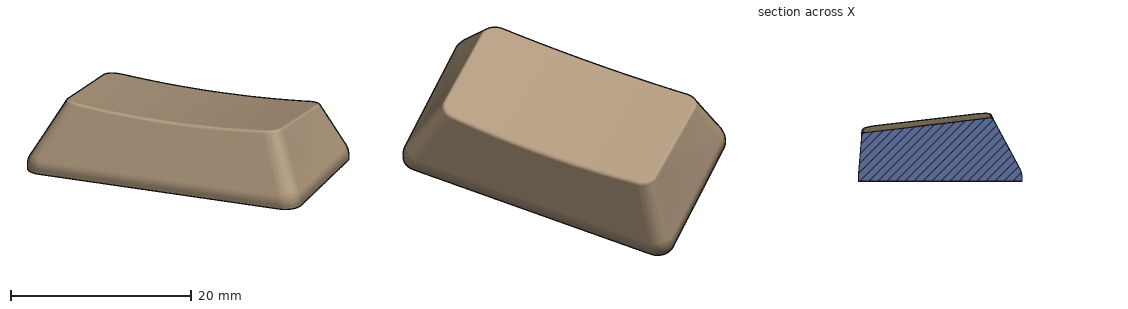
import cadquery as cq
import math

LENGTH = 32.45
WIDTH = 18.16

SKIRT_HEIGHT = 1.0

BODY_RADIUS = 1.9

FRONT_LEAN = 28.3
BACK_LEAN = 4.8

TOP_TILT = 6.7
RIM_LENGTH = 25.3
RIM_FRONT_HEIGHT = 7.88

DISH_RADIUS = 125.0
DISH_DEPTH = 0.85
TOP_EDGE_RADIUS = 0.4

FRONT_SLOPE = math.tan(math.radians(FRONT_LEAN))
BACK_SLOPE = math.tan(math.radians(BACK_LEAN))
TILT_SLOPE = math.tan(math.radians(TOP_TILT))

RIM_FRONT = -WIDTH / 2 + (RIM_FRONT_HEIGHT - SKIRT_HEIGHT) * FRONT_SLOPE
RIM_RISE_AT_CENTRE = RIM_FRONT_HEIGHT + RIM_FRONT * TILT_SLOPE - SKIRT_HEIGHT
RIM_BACK = (WIDTH / 2 - RIM_RISE_AT_CENTRE * BACK_SLOPE) / (1 - TILT_SLOPE * BACK_SLOPE)


def rim_height(y):
    """Height of the tilted rim plane at a given depth."""
    return RIM_FRONT_HEIGHT - (y - RIM_FRONT) * TILT_SLOPE


def rectangle_wire(length, front, back, front_height, back_height):
    """Closed rectangle centred on X, with its own height at front and back."""
    half = length / 2
    corners = [
        cq.Vector(-half, front, front_height),
        cq.Vector(half, front, front_height),
        cq.Vector(half, back, back_height),
        cq.Vector(-half, back, back_height),
    ]
    return cq.Wire.makePolygon(corners, close=True)


def make_blank():
    """Upright skirt carrying four leaning walls, with all side edges rounded."""
    skirt = cq.Workplane("XY").rect(LENGTH, WIDTH).extrude(SKIRT_HEIGHT)
    wall_foot = rectangle_wire(LENGTH, -WIDTH / 2, WIDTH / 2, SKIRT_HEIGHT, SKIRT_HEIGHT)
    rim = rectangle_wire(RIM_LENGTH, RIM_FRONT, RIM_BACK, RIM_FRONT_HEIGHT, rim_height(RIM_BACK))
    body = skirt.union(cq.Workplane(cq.Solid.makeLoft([wall_foot, rim], True)))
    side_zone = cq.selectors.BoxSelector(
        (-LENGTH, -WIDTH, SKIRT_HEIGHT / 4), (LENGTH, WIDTH, rim_height(RIM_BACK) - SKIRT_HEIGHT)
    )
    return body.edges(side_zone).fillet(BODY_RADIUS)


def make_dish():
    """Tilted cylinder that hollows the top of the blank."""
    return (
        cq.Workplane("XZ")
        .center(0, DISH_RADIUS - DISH_DEPTH)
        .circle(DISH_RADIUS)
        .extrude(WIDTH, both=True)
        .rotate((0, 0, 0), (1, 0, 0), -TOP_TILT)
        .translate((0, 0, rim_height(0)))
    )


trimmed = make_blank().cut(make_dish())
dish_centre = (0, 0, rim_height(0) - DISH_DEPTH)
dish_face = trimmed.faces(cq.selectors.NearestToPointSelector(dish_centre))
result = dish_face.edges().fillet(TOP_EDGE_RADIUS)